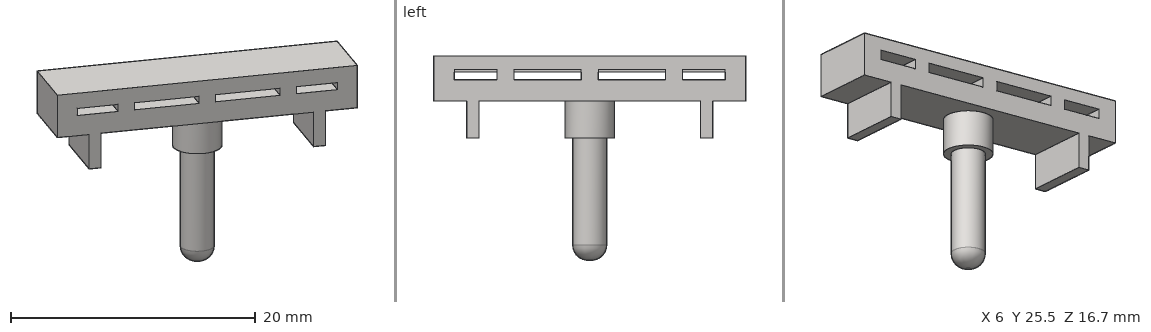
import cadquery as cq

BAR_WIDTH = 6.0
BAR_LENGTH = 25.5
BAR_HEIGHT = 3.7
BAR_X_RANGE = (-BAR_WIDTH / 2, BAR_WIDTH / 2)

STANDOFF_HEIGHT = 3.0
FOOT_THICKNESS = 1.02
FOOT_SPACING = 19.07
COLLAR_DIAMETER = 4.05

PIN_DIAMETER = 2.8
PIN_LENGTH = 10.0
TIP_FILLET = 1.28

SHORT_SLOT_LENGTH = 3.47
LONG_SLOT_LENGTH = 5.48
SLOT_GAP = 1.4
SLOT_FLOOR = 1.75
SLOT_ENTRY_HEIGHT = 0.82
SLOT_EXIT_HEIGHT = 0.6
SLOT_STEP_X = 0.0

LONG_SLOT_CENTER = (SLOT_GAP + LONG_SLOT_LENGTH) / 2
SHORT_SLOT_CENTER = LONG_SLOT_CENTER + LONG_SLOT_LENGTH / 2 + SLOT_GAP + SHORT_SLOT_LENGTH / 2


def block(x_range, y_center, y_length, z_range):
    """A box between two X and two Z limits, centred on a given Y."""
    x_min, x_max = x_range
    z_min, z_max = z_range
    box = cq.Workplane("XY").box(x_max - x_min, y_length, z_max - z_min, centered=(False, True, False))
    return box.translate((x_min, y_center, z_min))


def stepped_slot(y_center, length):
    """A slot through the bar in X whose ceiling is lower on the +X side of the step."""
    entry_ceiling = SLOT_FLOOR + SLOT_ENTRY_HEIGHT
    exit_ceiling = SLOT_FLOOR + SLOT_EXIT_HEIGHT
    entry = block((BAR_X_RANGE[0], SLOT_STEP_X), y_center, length, (SLOT_FLOOR, entry_ceiling))
    passage = block(BAR_X_RANGE, y_center, length, (SLOT_FLOOR, exit_ceiling))
    return passage.union(entry)


def make_housing():
    """The slotted bar with its two feet and central collar."""
    housing = block(BAR_X_RANGE, 0, BAR_LENGTH, (0, BAR_HEIGHT))
    collar = cq.Workplane("XY").circle(COLLAR_DIAMETER / 2).extrude(-STANDOFF_HEIGHT)
    housing = housing.union(collar)
    for side in (-1, 1):
        foot = block(BAR_X_RANGE, side * FOOT_SPACING / 2, FOOT_THICKNESS, (-STANDOFF_HEIGHT, 0))
        housing = housing.union(foot)
        housing = housing.cut(stepped_slot(side * LONG_SLOT_CENTER, LONG_SLOT_LENGTH))
        housing = housing.cut(stepped_slot(side * SHORT_SLOT_CENTER, SHORT_SLOT_LENGTH))
    return housing


def make_pin():
    """A round pin with a rounded tip, seated against the collar's end face."""
    shank = cq.Workplane("XY", origin=(0, 0, -STANDOFF_HEIGHT)).circle(PIN_DIAMETER / 2).extrude(-PIN_LENGTH)
    return shank.faces("<Z").edges().fillet(TIP_FILLET)


housing = make_housing()
pin = make_pin()
result = cq.Compound.makeCompound([housing.val(), pin.val()])